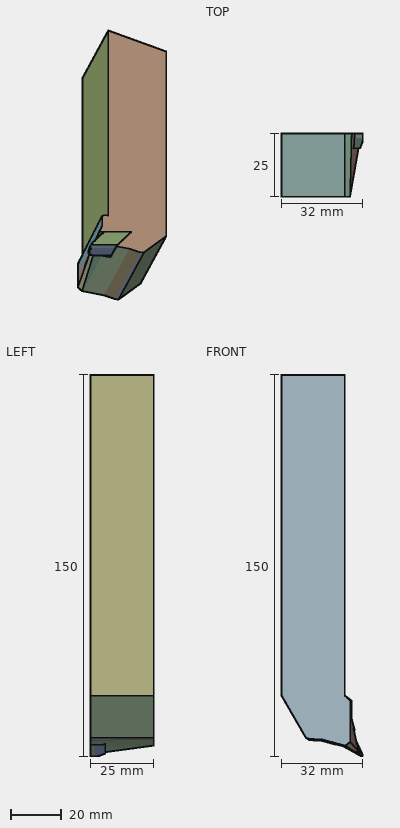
import cadquery as cq
import math

shank_width = 25.0
depth = 25.0
total_height = 150.0
reach = 32.0
heel_z = 23.9
heel_angle = math.radians(30)

edge_length = 13.5
nose_radius = 0.5
right_edge_angle = math.radians(115.5)
nose_angle = math.radians(35)
lower_edge_angle = right_edge_angle + nose_angle
insert_thickness = 5.9
land_thickness = 1.8
relief_angle = math.radians(5)
nose_relief_depth = 3.2
nose_relief_angle = math.radians(35)

nose_center = (reach - nose_radius, nose_radius)
nose_setback = nose_radius / math.sin(nose_angle / 2)
bisector_angle = right_edge_angle + nose_angle / 2
sharp_nose = (
    nose_center[0] - nose_setback * math.cos(bisector_angle),
    nose_center[1] - nose_setback * math.sin(bisector_angle),
)


def move(point, angle, distance):
    """Point at a distance along a direction in the XZ plane."""
    return (point[0] + distance * math.cos(angle), point[1] + distance * math.sin(angle))


def xz_plane(y):
    """Workplane at the given Y with local axes X and Z, extruding toward -Y."""
    return cq.Workplane("XZ", origin=(0, y, 0))


def heel_point(z):
    """Point of the heel relief at the given height."""
    return ((heel_z - z) * math.tan(heel_angle), z)


def rhombus(corner, length):
    """Four corners of a rhombus with the insert's edge directions."""
    right = move(corner, right_edge_angle, length)
    left = move(corner, lower_edge_angle, length)
    back = move(right, lower_edge_angle, length)
    return [corner, right, back, left]


def make_holder():
    heel_end = heel_point(7.3)
    step_z = 21.9
    flank_top_z = 15.0

    sole_start_x = 11.2
    sole_bend_x = 15.8
    sole_end_x = 25.2

    front_x = 27.0
    front_outline = [
        (0, total_height),
        (0, heel_z),
        heel_end,
        (sole_start_x, 6.9),
        (sole_bend_x, 6.7),
        (24.8, 4.3),
        (sole_end_x, 4.2),
        (front_x, 5.7),
        (front_x, flank_top_z),
        (front_x, step_z),
        (shank_width, heel_z),
        (shank_width, total_height),
    ]

    back_x = 27.6
    back_outline = [
        (0, total_height),
        (0, heel_z),
        heel_end,
        (sole_start_x, 6.3),
        (sole_bend_x, 6.1),
        (sole_end_x, 3.5),
        (30.0, 0.8),
        (31.4, 0.9),
        (back_x, flank_top_z),
        (back_x, step_z),
        (shank_width, heel_z),
        (shank_width, total_height),
    ]
    holder = (
        xz_plane(0).polyline(front_outline).close()
        .workplane(offset=-depth).polyline(back_outline).close()
        .loft(ruled=True, combine=True)
    )

    overrun = 10.0
    seat_corner = move(move(sharp_nose, right_edge_angle, -overrun), lower_edge_angle, -overrun)
    seat = (
        xz_plane(depth).polyline(rhombus(seat_corner, edge_length + overrun)).close()
        .extrude(insert_thickness)
    )
    return holder.cut(seat)


def make_insert():
    land = xz_plane(depth).polyline(rhombus(sharp_nose, edge_length)).close().extrude(land_thickness)

    body_thickness = insert_thickness - land_thickness
    body = (
        xz_plane(depth - land_thickness).polyline(rhombus(sharp_nose, edge_length)).close()
        .extrude(body_thickness, taper=math.degrees(relief_angle))
    )
    insert = land.union(body)

    quarter_turn = math.pi / 2
    tangent_right = move(nose_center, right_edge_angle - quarter_turn, nose_radius)
    tangent_lower = move(nose_center, lower_edge_angle + quarter_turn, nose_radius)
    nose_front = move(nose_center, bisector_angle, -nose_radius)
    beyond = 2 * nose_setback
    sharp_tip = (
        xz_plane(depth)
        .moveTo(*tangent_right)
        .threePointArc(nose_front, tangent_lower)
        .lineTo(*move(tangent_lower, bisector_angle, -beyond))
        .lineTo(*move(tangent_right, bisector_angle, -beyond))
        .close()
        .extrude(insert_thickness)
    )
    insert = insert.cut(sharp_tip)

    relief_plane = cq.Plane(
        origin=(nose_front[0], depth, nose_front[1]),
        xDir=(math.cos(bisector_angle), 0, math.sin(bisector_angle)),
        normal=(-math.sin(bisector_angle), 0, math.cos(bisector_angle)),
    )
    relief_height = insert_thickness - nose_relief_depth
    nose_relief = (
        cq.Workplane(relief_plane)
        .moveTo(0, -nose_relief_depth)
        .lineTo(relief_height * math.tan(nose_relief_angle), -insert_thickness)
        .lineTo(-beyond, -insert_thickness)
        .lineTo(-beyond, -nose_relief_depth)
        .close()
        .extrude(edge_length, both=True)
    )
    return insert.cut(nose_relief)


holder = make_holder()
insert = make_insert()
result = cq.Compound.makeCompound([holder.solids().val(), insert.solids().val()])